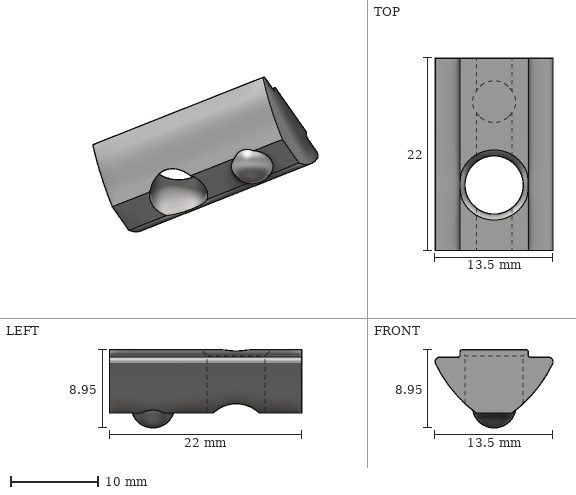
import cadquery as cq
import math

length = 22.0
width = 13.5
body_height = 7.24
bottom_width = 4.07

neck_width = 7.8
neck_height = 0.84
neck_fillet = 0.22

tip_radius = 0.55
tip_middle_angle = math.radians(30)
tip_end_angle = math.radians(17)
flank_bulge = 0.46

hole_diameter = 6.65
countersink_diameter = 8.03
hole_from_front = 7.5

overall_height = 8.95
ball_radius = 2.5
ball_from_back = 4.97


def make_body():
    """Extrude the symmetric nut section along Y."""
    tip_x = width / 2 - tip_radius
    tip_z = -neck_height - tip_radius

    def tip_point(angle):
        return (tip_x + tip_radius * math.cos(angle), tip_z + tip_radius * math.sin(angle))

    flank_top = tip_point(-tip_end_angle)
    flank_bottom = (bottom_width / 2, -body_height)
    run_x = flank_top[0] - flank_bottom[0]
    run_z = flank_top[1] - flank_bottom[1]
    chord = math.hypot(run_x, run_z)
    flank_middle = (
        (flank_top[0] + flank_bottom[0]) / 2 + flank_bulge * run_z / chord,
        (flank_top[1] + flank_bottom[1]) / 2 - flank_bulge * run_x / chord,
    )
    half_section = (
        cq.Workplane("XZ", origin=(0, length / 2, 0))
        .lineTo(neck_width / 2, 0)
        .lineTo(neck_width / 2, -neck_height)
        .lineTo(tip_x, -neck_height)
        .threePointArc(tip_point(tip_middle_angle), flank_top)
        .threePointArc(flank_middle, flank_bottom)
        .lineTo(0, -body_height)
        .close()
    )
    half = half_section.extrude(length)
    neck_edges = cq.selectors.BoxSelector(
        (neck_width / 2 - neck_fillet, -length, -neck_height - neck_fillet),
        (neck_width / 2 + neck_fillet, length, neck_fillet),
    )
    half = half.edges("|Y").edges(neck_edges).fillet(neck_fillet)
    return half.union(half.mirror("YZ"))


def make_hole():
    """Through-hole cutter with its countersink at the top face."""
    hole_radius = hole_diameter / 2
    countersink_radius = countersink_diameter / 2
    countersink_depth = countersink_radius - hole_radius
    profile = (
        cq.Workplane("XZ")
        .lineTo(countersink_radius, 0)
        .lineTo(hole_radius, -countersink_depth)
        .lineTo(hole_radius, -body_height)
        .lineTo(0, -body_height)
        .close()
    )
    cutter = profile.revolve(360, (0, 0, 0), (0, 1, 0))
    return cutter.translate((0, hole_from_front - length / 2, 0))


def make_ball():
    """Sphere partly embedded in the bottom of the body."""
    centre = (0, length / 2 - ball_from_back, ball_radius - overall_height)
    return cq.Workplane("XY").sphere(ball_radius).translate(centre)


result = make_body().cut(make_hole()).union(make_ball())